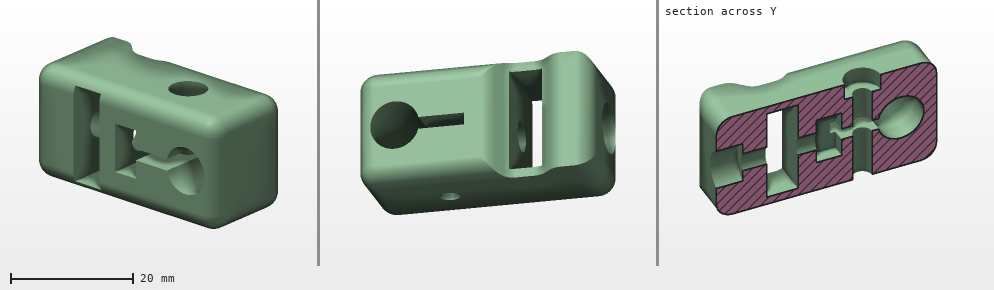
import cadquery as cq
import math

length = 40.0
depth = 17.5
height = 20.0
edge_radius = 3.0

scoop_center = 12.1
scoop_floor_width = 2.8
scoop_radius = 3.0
scoop_depth = edge_radius
scoop_angle = math.radians(45)

window_left = 9.2
window_width = 5.6
window_height = 16.95

bore_y = 6.8
bore_diameter = 8.5
bore_depth = 4.8
rod_diameter = 5.2

pocket_left = 18.2
pocket_width = 4.5
pocket_height = 8.55
pocket_depth = bore_y + pocket_height / 2

clamp_x = 33.5
clamp_diameter = 8.3
slit_left = 21.7
slit_height = 2.05

screw_x = 26.5
screw_y = 8.7
screw_diameter = 3.4
head_diameter = 6.55
head_depth = 3.0


def box(x, y, size_x, size_y, size_z):
    """Box from corner (x, y), centred in Z."""
    return cq.Workplane("XY").box(size_x, size_y, size_z, centered=(False, False, True)).translate((x, y, 0))


def bore_along_x(diameter, end_x):
    """Cylinder on the bore axis from the left end to end_x."""
    return cq.Workplane("YZ").center(bore_y, 0).circle(diameter / 2).extrude(end_x)


def make_block():
    """Fully rounded block, except for a square-edged back left quarter."""
    rounded = box(0, 0, length, depth, height).edges().fillet(edge_radius)
    back = box(0, depth / 2, scoop_center, depth / 2, height)
    upright_rounding = back.edges("|Z and <X and >Y").fillet(edge_radius)
    end_rounding = back.edges("|Y and <X").fillet(edge_radius)
    return rounded.union(upright_rounding.intersect(end_rounding))


def make_scoop():
    """Flat-bottomed trough with sloping sides blended by arcs at top and bottom."""
    sine = math.sin(scoop_angle)
    rise = scoop_radius * (1 - math.cos(scoop_angle))
    slope_run = (scoop_depth - 2 * rise) / math.tan(scoop_angle)
    arc_run = scoop_radius * sine
    half_angle = scoop_angle / 2
    mid_run = scoop_radius * math.sin(half_angle)
    mid_rise = scoop_radius * (1 - math.cos(half_angle))

    floor_y = depth - scoop_depth
    floor_end = scoop_floor_width / 2
    slope_start = floor_end + arc_run
    slope_end = slope_start + slope_run
    rim = slope_end + arc_run
    half = (
        cq.Workplane("XY", origin=(scoop_center, 0, -height / 2))
        .moveTo(0, floor_y)
        .lineTo(floor_end, floor_y)
        .threePointArc((floor_end + mid_run, floor_y + mid_rise), (slope_start, floor_y + rise))
        .lineTo(slope_end, depth - rise)
        .threePointArc((rim - mid_run, depth - mid_rise), (rim, depth))
        .lineTo(0, depth)
        .close()
        .extrude(height)
    )
    return half.union(half.mirror("YZ", (scoop_center, 0, 0)))


def make_clamp_opening():
    """Keyhole running through the block from front to back."""
    hole = cq.Workplane("XZ").center(clamp_x, 0).circle(clamp_diameter / 2).extrude(-depth)
    slit = box(slit_left, 0, clamp_x - slit_left, depth, slit_height)
    return hole.union(slit)


def make_screw_hole():
    """Vertical through hole with a counterbore in the top face."""
    shank = cq.Workplane("XY").center(screw_x, screw_y).circle(screw_diameter / 2).extrude(height / 2, both=True)
    head = (
        cq.Workplane("XY", origin=(screw_x, screw_y, height / 2))
        .circle(head_diameter / 2)
        .extrude(-head_depth)
    )
    return shank.union(head)


result = (
    make_block()
    .cut(make_scoop())
    .cut(box(window_left, 0, window_width, depth, window_height))
    .cut(bore_along_x(bore_diameter, bore_depth))
    .cut(bore_along_x(rod_diameter, pocket_left + pocket_width))
    .cut(box(pocket_left, 0, pocket_width, pocket_depth, pocket_height))
    .cut(make_clamp_opening())
    .cut(make_screw_hole())
)